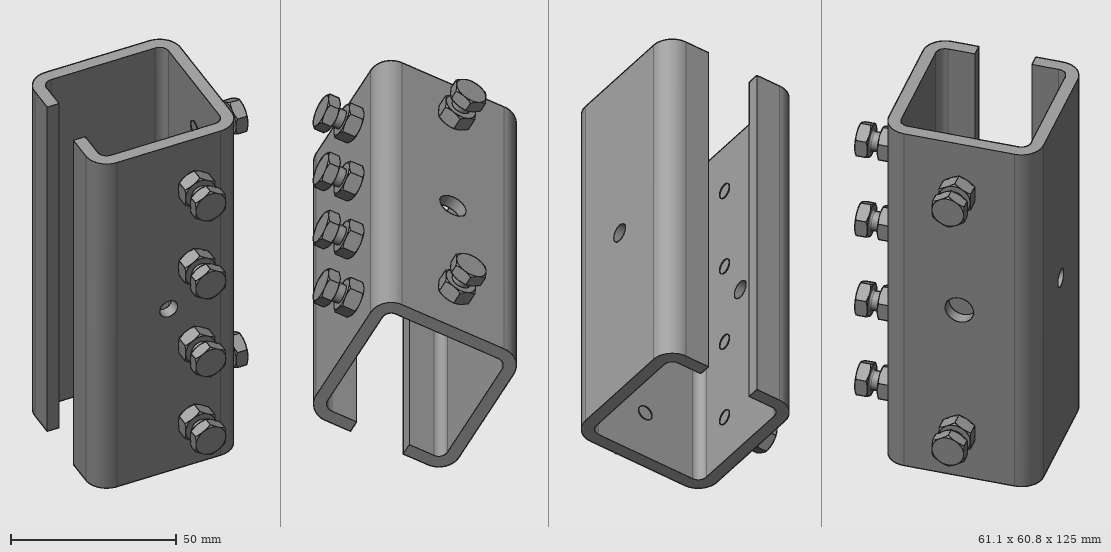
import cadquery as cq
import math

LENGTH = 125.0
WIDTH = 49.0
WALL = 4.0
OUTER_RADIUS = 7.0
INNER_RADIUS = OUTER_RADIUS - WALL
SLOT_WIDTH = 18.0

BACK_HOLE_DIAMETER = 9.0
SIDE_HOLE_DIAMETER = 6.0

ACROSS_FLATS = 10.0
ACROSS_CORNERS = ACROSS_FLATS / math.cos(math.pi / 6)
BEVEL_ANGLE = math.radians(30)
NUT_HEIGHT = 5.0
HEAD_HEIGHT = 4.0
SHANK_DIAMETER = 6.0
NECK_FILLET = 0.6
SIDE_BOLT_REACH = 12.1
BACK_BOLT_REACH = 11.8

BORE_DIAMETER = 5.0
BORE_DEPTH = 0.2

END_DISTANCE = 17.5
SIDE_BOLT_PITCH = 30.0
SIDE_BOLT_Y = 8.2
BACK_BOLT_HEIGHTS = [END_DISTANCE, LENGTH - END_DISTANCE]
SIDE_BOLT_HEIGHTS = [
    END_DISTANCE,
    END_DISTANCE + SIDE_BOLT_PITCH,
    LENGTH - END_DISTANCE - SIDE_BOLT_PITCH,
    LENGTH - END_DISTANCE,
]


def rounded_bar(width, radius):
    """Square bar of the tube's length with rounded long edges."""
    return cq.Workplane("XY").rect(width, width).extrude(LENGTH).edges("|Z").fillet(radius)


def slotted_tube():
    """Square tube, open along the whole of its front wall."""
    tube = rounded_bar(WIDTH, OUTER_RADIUS).cut(rounded_bar(WIDTH - 2 * WALL, INNER_RADIUS))
    slot = cq.Workplane("XY").center(0, -WIDTH / 2).rect(SLOT_WIDTH, WIDTH).extrude(LENGTH)
    return tube.cut(slot)


def back_hole():
    """Cutter for the hole in the back wall."""
    return cq.Workplane("XZ").center(0, LENGTH / 2).circle(BACK_HOLE_DIAMETER / 2).extrude(-WIDTH)


def side_holes():
    """Cutter for the aligned holes in both side walls."""
    profile = cq.Workplane("YZ").center(0, LENGTH / 2).circle(SIDE_HOLE_DIAMETER / 2)
    return profile.extrude(WIDTH, both=True)


def bevelled_hexagon(base, height):
    """Hexagonal prism along Z, with two corners on the Y axis and both ends bevelled."""
    flat_radius = ACROSS_FLATS / 2
    corner_radius = ACROSS_CORNERS / 2
    bevel_height = (corner_radius - flat_radius) * math.tan(BEVEL_ANGLE)
    top = base + height
    envelope = (
        cq.Workplane("XZ")
        .moveTo(0, base)
        .lineTo(flat_radius, base)
        .lineTo(corner_radius, base + bevel_height)
        .lineTo(corner_radius, top - bevel_height)
        .lineTo(flat_radius, top)
        .lineTo(0, top)
        .close()
        .revolve(360, (0, 0, 0), (0, 1, 0))
    )
    prism = cq.Workplane("XY").workplane(offset=base).polygon(6, ACROSS_CORNERS).extrude(height)
    return prism.rotate((0, 0, 0), (0, 0, 1), 90).intersect(envelope)


def bolt_with_nut(reach):
    """Nut and bolt along Z, standing on the wall at Z = 0, with the head's top at Z = reach."""
    head_base = reach - HEAD_HEIGHT
    shank_radius = SHANK_DIAMETER / 2
    shank = (
        cq.Workplane("XZ")
        .lineTo(shank_radius, 0)
        .lineTo(shank_radius, head_base - NECK_FILLET)
        .radiusArc((shank_radius + NECK_FILLET, head_base), NECK_FILLET)
        .lineTo(0, head_base)
        .close()
        .revolve(360, (0, 0, 0), (0, 1, 0))
    )
    nut = bevelled_hexagon(0, NUT_HEIGHT)
    head = bevelled_hexagon(head_base, HEAD_HEIGHT)
    return shank.union(nut).union(head)


def bolt_bore():
    """Cutter along Z for the bore behind a bolt, sunk into the inner face of the wall."""
    return cq.Workplane("XY").workplane(offset=-WALL).circle(BORE_DIAMETER / 2).extrude(BORE_DEPTH)


def on_side_wall(body, height):
    """Turn a body from Z to +X and put it on the side wall."""
    turned = body.rotate((0, 0, 0), (0, 0, 1), 90).rotate((0, 0, 0), (0, 1, 0), 90)
    return turned.translate((WIDTH / 2, SIDE_BOLT_Y, height))


def on_back_wall(body, height):
    """Turn a body from Z to +Y and put it on the back wall."""
    return body.rotate((0, 0, 0), (1, 0, 0), -90).translate((0, WIDTH / 2, height))


result = slotted_tube().cut(back_hole()).cut(side_holes())

for bolt_height in SIDE_BOLT_HEIGHTS:
    result = result.cut(on_side_wall(bolt_bore(), bolt_height))
    result = result.union(on_side_wall(bolt_with_nut(SIDE_BOLT_REACH), bolt_height))

for bolt_height in BACK_BOLT_HEIGHTS:
    result = result.cut(on_back_wall(bolt_bore(), bolt_height))
    result = result.union(on_back_wall(bolt_with_nut(BACK_BOLT_REACH), bolt_height))